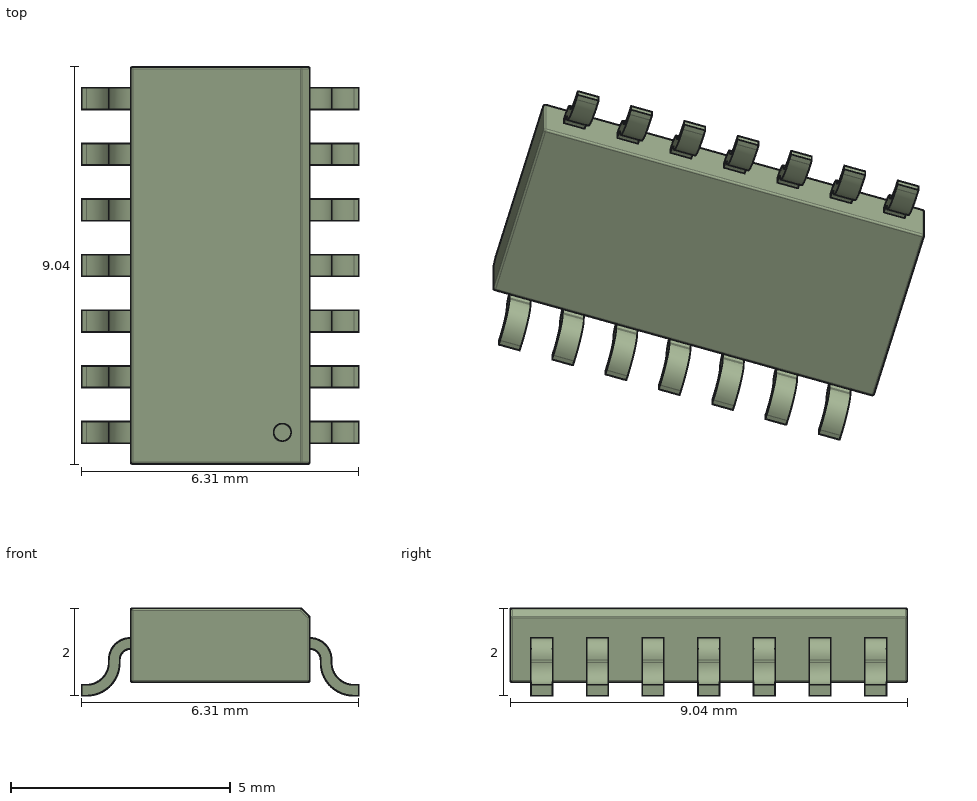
import cadquery as cq

body_width = 4.08
body_length = 9.04
overall_height = 2.0
standoff = 0.31
body_height = overall_height - standoff
pin_one_bevel = 0.2
edge_radius = 0.05

dot_diameter = 0.4
dot_depth = 0.045
dot_inset = 0.62

overall_width = 6.31
lead_count = 7
lead_pitch = 1.27
lead_width = 0.5
lead_thickness = 0.25
lead_top = 1.32
shoulder_radius = 0.24
heel_radius = 0.51
lead_embed = 0.18
first_lead_y = -lead_pitch * (lead_count - 1) / 2


def make_body():
    """Block with a wide bevel along its top +X edge and every edge rounded."""
    block = cq.Workplane("XY").box(body_width, body_length, body_height, centered=(True, True, False))
    block = block.translate((0, 0, standoff))
    block = block.edges(">X and >Z").chamfer(pin_one_bevel)
    return block.edges().fillet(edge_radius)


def make_dot():
    """Shallow round recess beside the first lead."""
    return (
        cq.Workplane("XY", origin=(body_width / 2 - dot_inset, first_lead_y, overall_height - dot_depth))
        .circle(dot_diameter / 2)
        .extrude(dot_depth)
    )


def make_lead():
    """S-shaped lead leaving the +X side, centred on y = 0."""
    side = body_width / 2
    shoulder_outer = shoulder_radius + lead_thickness
    heel_outer = heel_radius + lead_thickness
    shoulder_z = lead_top - shoulder_outer
    inner_x = side + shoulder_radius
    outer_x = side + shoulder_outer
    heel_x = outer_x + heel_radius
    tip_x = overall_width / 2
    return (
        cq.Workplane("XZ")
        .moveTo(side - lead_embed, lead_top)
        .lineTo(side, lead_top)
        .radiusArc((outer_x, shoulder_z), shoulder_outer)
        .lineTo(outer_x, heel_outer)
        .radiusArc((heel_x, lead_thickness), -heel_radius)
        .lineTo(tip_x, lead_thickness)
        .lineTo(tip_x, 0)
        .lineTo(heel_x, 0)
        .radiusArc((inner_x, heel_outer), heel_outer)
        .lineTo(inner_x, shoulder_z)
        .radiusArc((side, lead_top - lead_thickness), -shoulder_radius)
        .lineTo(side - lead_embed, lead_top - lead_thickness)
        .close()
        .extrude(lead_width / 2, both=True)
    )


result = make_body().cut(make_dot())
right_lead = make_lead()
left_lead = right_lead.mirror("YZ")
for index in range(lead_count):
    lead_y = first_lead_y + index * lead_pitch
    for lead in (right_lead, left_lead):
        result = result.union(lead.translate((0, lead_y, 0)))